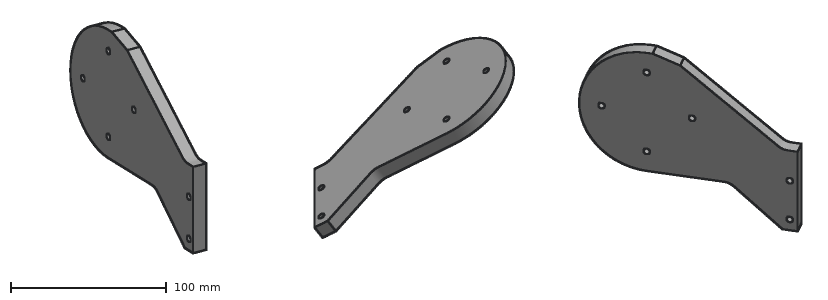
import cadquery as cq

thickness = 10.0
length = 145.0
disc_radius = 45.0
right_edge = length - disc_radius
foot_bottom = -74.8

foot_height = 60.6
foot_top = foot_bottom + foot_height
foot_bottom_width = 10.0
crown_flat_end = 3.9
shoulder_x = 22.2
shoulder_z = 38.9
upper_bend_x = 90.0
lower_bend_x = 55.0
bend_radius = 10.0

hole_diameter = 4.2
disc_hole_offset = 30.0
foot_hole_inset = 5.2
foot_hole_heights = (8.3, 37.7)


def plate():
    """Disc and angled arm in one outline, with both inside bends rounded."""
    body = (
        cq.Workplane("XZ")
        .moveTo(0, -disc_radius)
        .threePointArc((-disc_radius, 0), (0, disc_radius))
        .lineTo(crown_flat_end, disc_radius)
        .lineTo(shoulder_x, shoulder_z)
        .lineTo(upper_bend_x, foot_top)
        .lineTo(right_edge, foot_top)
        .lineTo(right_edge, foot_bottom)
        .lineTo(right_edge - foot_bottom_width, foot_bottom)
        .lineTo(lower_bend_x, -disc_radius)
        .close()
        .extrude(thickness)
    )
    bends = (
        cq.selectors.NearestToPointSelector((upper_bend_x, -thickness / 2, foot_top)),
        cq.selectors.NearestToPointSelector((lower_bend_x, -thickness / 2, -disc_radius)),
    )
    for bend in bends:
        body = body.edges("|Y").edges(bend).fillet(bend_radius)
    return body


def hole_cutters():
    """Four holes around the disc centre and two along the foot edge."""
    disc_holes = [
        (disc_hole_offset, 0),
        (-disc_hole_offset, 0),
        (0, disc_hole_offset),
        (0, -disc_hole_offset),
    ]
    foot_holes = [
        (right_edge - foot_hole_inset, foot_bottom + height)
        for height in foot_hole_heights
    ]
    return (
        cq.Workplane("XZ")
        .pushPoints(disc_holes + foot_holes)
        .circle(hole_diameter / 2)
        .extrude(thickness)
    )


result = plate().cut(hole_cutters())